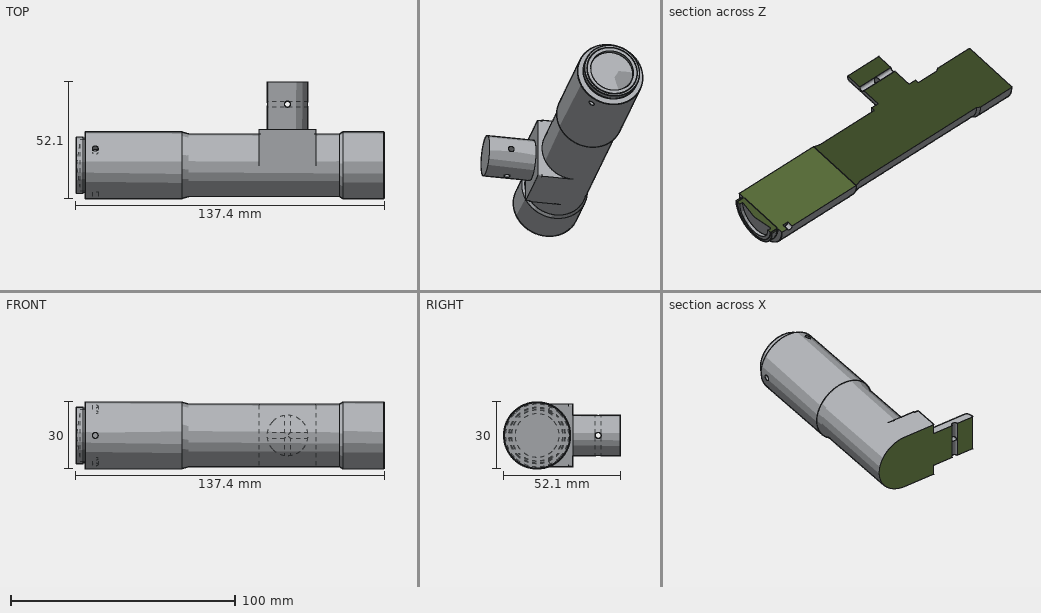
import cadquery as cq
overall_length = 137.4
outer_radius = 15.0
edge_chamfer = 0.2

lip_radius = 12.6
lip_length = 3.0
groove_radius = 12.2
groove_length = 0.8
shoulder_x = lip_length + groove_length
sleeve_end = 47.1
screw_hole_diameter = 2.6
screw_hole_depth = 3.0
screw_hole_x = 8.5
screw_hole_count = 3

cell_radius = 11.5
lens_radius = 9.8
lens_rim_depth = 1.6
lens_cone_height = 1.5

tube_radius = 14.0
shoulder_radius = 14.8
shoulder_taper_length = 3.0
collar_start = 118.8
collar_taper_length = 1.5
collar_chamfer = 0.4

block_center_x = 94.1
block_width = 25.5
block_face_y = 16.0
block_corner_radius = 0.8

port_radius = 9.0
port_end_y = 37.1
cross_hole_diameter = 2.6
cross_hole_y = 27.2


def revolve_about_x(profile):
    """Turn an open (x, radius) profile into a solid of revolution about the X axis."""
    return profile.close().revolve(360, (0, 0, 0), (1, 0, 0))


def make_screw_holes():
    """Blind radial holes equally spaced round the sleeve, the first one on the -Y side."""
    first_hole = (
        cq.Workplane("XZ", origin=(screw_hole_x, screw_hole_depth - outer_radius, 0))
        .circle(screw_hole_diameter / 2)
        .extrude(2 * screw_hole_depth)
    )
    spacing = 360 / screw_hole_count
    return [first_hole.rotate((0, 0, 0), (1, 0, 0), i * spacing) for i in range(screw_hole_count)]


def make_mount_sleeve():
    profile = (
        cq.Workplane("XY")
        .moveTo(0, cell_radius)
        .lineTo(0, lip_radius - edge_chamfer)
        .lineTo(edge_chamfer, lip_radius)
        .lineTo(lip_length, lip_radius)
        .lineTo(lip_length, groove_radius)
        .lineTo(shoulder_x, groove_radius)
        .lineTo(shoulder_x, outer_radius - edge_chamfer)
        .lineTo(shoulder_x + edge_chamfer, outer_radius)
        .lineTo(sleeve_end, outer_radius)
        .lineTo(sleeve_end, 0)
        .lineTo(shoulder_x, 0)
        .lineTo(shoulder_x, cell_radius)
    )
    sleeve = revolve_about_x(profile)
    for hole in make_screw_holes():
        sleeve = sleeve.cut(hole)
    return sleeve


def make_lens_cell():
    profile = (
        cq.Workplane("XY")
        .moveTo(lens_rim_depth - lens_cone_height, 0)
        .lineTo(lens_rim_depth, lens_radius)
        .lineTo(0, lens_radius)
        .lineTo(0, cell_radius - edge_chamfer)
        .lineTo(edge_chamfer, cell_radius)
        .lineTo(shoulder_x, cell_radius)
        .lineTo(shoulder_x, 0)
    )
    return revolve_about_x(profile)


def make_tube():
    profile = (
        cq.Workplane("XY")
        .moveTo(sleeve_end, 0)
        .lineTo(sleeve_end, shoulder_radius)
        .lineTo(sleeve_end + shoulder_taper_length, tube_radius)
        .lineTo(collar_start - collar_taper_length, tube_radius)
        .lineTo(collar_start, outer_radius)
        .lineTo(overall_length - collar_chamfer, outer_radius)
        .lineTo(overall_length, outer_radius - collar_chamfer)
        .lineTo(overall_length, 0)
    )
    return revolve_about_x(profile)


def make_block_layer(start_y, end_y):
    """A slab of the block, as tall as the tube, between two Y positions."""
    return cq.Workplane("XY", origin=(block_center_x, start_y, 0)).box(
        block_width, end_y - start_y, 2 * tube_radius, centered=(True, False, True)
    )


def make_block():
    """Sharp corners alongside the tube, rounded corners beyond it."""
    base = make_block_layer(0, tube_radius)
    rounded_top = make_block_layer(tube_radius, block_face_y).edges("|Y").fillet(block_corner_radius)
    return base.union(rounded_top)


def make_port():
    port = (
        cq.Workplane("XZ", origin=(block_center_x, block_face_y, 0))
        .circle(port_radius)
        .extrude(block_face_y - port_end_y)
    )
    for plane in ("XY", "YZ"):
        hole = (
            cq.Workplane(plane)
            .circle(cross_hole_diameter / 2)
            .extrude(2 * port_radius, both=True)
            .translate((block_center_x, cross_hole_y, 0))
        )
        port = port.cut(hole)
    return port


def make_main_body():
    """Tube, block and side port in one piece."""
    return make_tube().union(make_block()).union(make_port())


mount_sleeve = make_mount_sleeve()
lens_cell = make_lens_cell()
main_body = make_main_body()

result = cq.Compound.makeCompound([body.solids().val() for body in (mount_sleeve, lens_cell, main_body)])